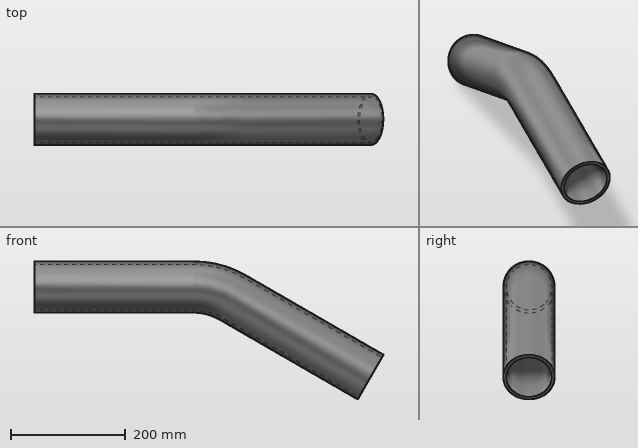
import cadquery as cq
import math

overall_length = 608.0
outer_diameter = 90.0
inner_diameter = 79.0
bend_angle = 30.0
bend_radius = 1.5 * outer_diameter

outer_radius = outer_diameter / 2
angle = math.radians(bend_angle)
bend_length = (bend_radius + outer_radius) * math.sin(angle)
leg_length = (overall_length - bend_length) / (1 + math.cos(angle))


def arc_point(turn):
    """Point on the centreline arc after turning downward by the given angle."""
    x = leg_length + bend_radius * math.sin(turn)
    z = -bend_radius * (1 - math.cos(turn))
    return x, z


def centreline():
    """Straight leg along X, downward bend, then the sloping straight leg."""
    bend_end_x, bend_end_z = arc_point(angle)
    pipe_end = (
        bend_end_x + leg_length * math.cos(angle),
        bend_end_z - leg_length * math.sin(angle),
    )
    return (
        cq.Workplane("XZ")
        .lineTo(leg_length, 0)
        .threePointArc(arc_point(angle / 2), (bend_end_x, bend_end_z))
        .lineTo(*pipe_end)
    )


def bent_rod(diameter):
    """Solid round rod that follows the centreline."""
    return cq.Workplane("YZ").circle(diameter / 2).sweep(centreline())


result = bent_rod(outer_diameter).cut(bent_rod(inner_diameter))